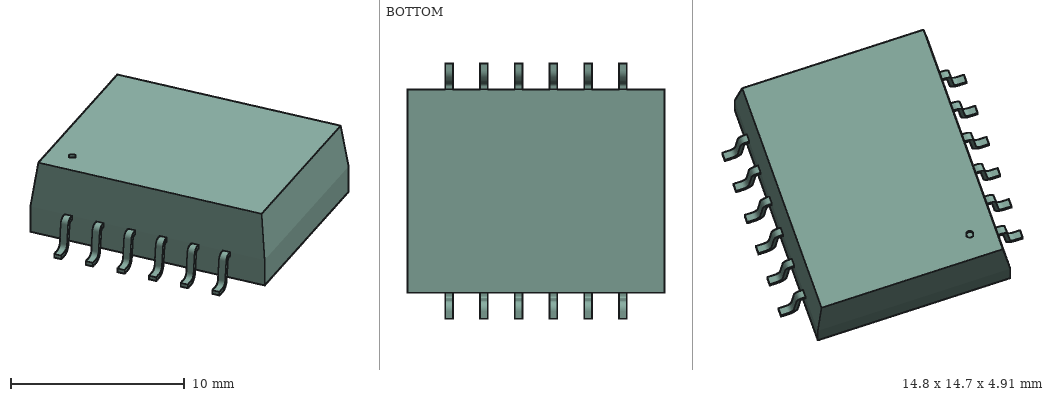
import cadquery as cq
import math

body_length = 14.8
overall_width = 14.7
overall_height = 4.91

body_width = 11.7
standoff = 0.4
parting_height = 2.1
draft_angle = 7.0

mark_diameter = 0.41
mark_depth = 0.2
mark_x = -5.58
mark_y = -4.01

leads_per_side = 6
lead_pitch = 2.0
lead_width = 0.46
lead_thickness = 0.25
stub_length = 0.18
shoulder_radius = 0.13
foot_radius = 0.34
leg_lean = 7.0


def make_body():
    base = (
        cq.Workplane("XY")
        .workplane(offset=standoff)
        .rect(body_length, body_width)
        .extrude(parting_height - standoff)
    )
    cover = (
        cq.Workplane("XY")
        .workplane(offset=parting_height)
        .rect(body_length, body_width)
        .extrude(overall_height - parting_height, taper=draft_angle)
    )
    return base.union(cover)


def make_pin_mark():
    return (
        cq.Workplane("XY")
        .workplane(offset=overall_height - mark_depth)
        .center(mark_x, mark_y)
        .circle(mark_diameter / 2)
        .extrude(mark_depth)
    )


def on_circle(center, radius, degrees):
    angle = math.radians(degrees)
    return (center[0] + radius * math.cos(angle), center[1] + radius * math.sin(angle))


def make_lead():
    """One lead on the +Y side, centred on X = 0."""
    body_face = body_width / 2
    tip = overall_width / 2
    shoulder_outer = shoulder_radius + lead_thickness
    foot_outer = foot_radius + lead_thickness
    lean = math.radians(leg_lean)

    shoulder_center = (body_face + stub_length, parting_height - shoulder_outer)
    drop = shoulder_center[1] - foot_outer
    reach = (shoulder_outer + foot_radius + drop * math.sin(lean)) / math.cos(lean)
    foot_center = (shoulder_center[0] + reach, foot_outer)

    shoulder_start = 90
    shoulder_end = leg_lean
    shoulder_middle = (shoulder_start + shoulder_end) / 2
    foot_start = 180 + leg_lean
    foot_end = 270
    foot_middle = (foot_start + foot_end) / 2

    profile = (
        cq.Workplane("YZ")
        .workplane(offset=-lead_width / 2)
        .moveTo(body_face, parting_height)
        .lineTo(*on_circle(shoulder_center, shoulder_outer, shoulder_start))
        .threePointArc(
            on_circle(shoulder_center, shoulder_outer, shoulder_middle),
            on_circle(shoulder_center, shoulder_outer, shoulder_end),
        )
        .lineTo(*on_circle(foot_center, foot_radius, foot_start))
        .threePointArc(
            on_circle(foot_center, foot_radius, foot_middle),
            on_circle(foot_center, foot_radius, foot_end),
        )
        .lineTo(tip, lead_thickness)
        .lineTo(tip, 0)
        .lineTo(*on_circle(foot_center, foot_outer, foot_end))
        .threePointArc(
            on_circle(foot_center, foot_outer, foot_middle),
            on_circle(foot_center, foot_outer, foot_start),
        )
        .lineTo(*on_circle(shoulder_center, shoulder_radius, shoulder_end))
        .threePointArc(
            on_circle(shoulder_center, shoulder_radius, shoulder_middle),
            on_circle(shoulder_center, shoulder_radius, shoulder_start),
        )
        .lineTo(body_face, parting_height - lead_thickness)
        .close()
    )
    return profile.extrude(lead_width)


result = make_body().cut(make_pin_mark())

back_lead = make_lead()
front_lead = back_lead.mirror("XZ")
for index in range(leads_per_side):
    lead_x = (index - (leads_per_side - 1) / 2) * lead_pitch
    for lead in (back_lead, front_lead):
        result = result.union(lead.translate((lead_x, 0, 0)))